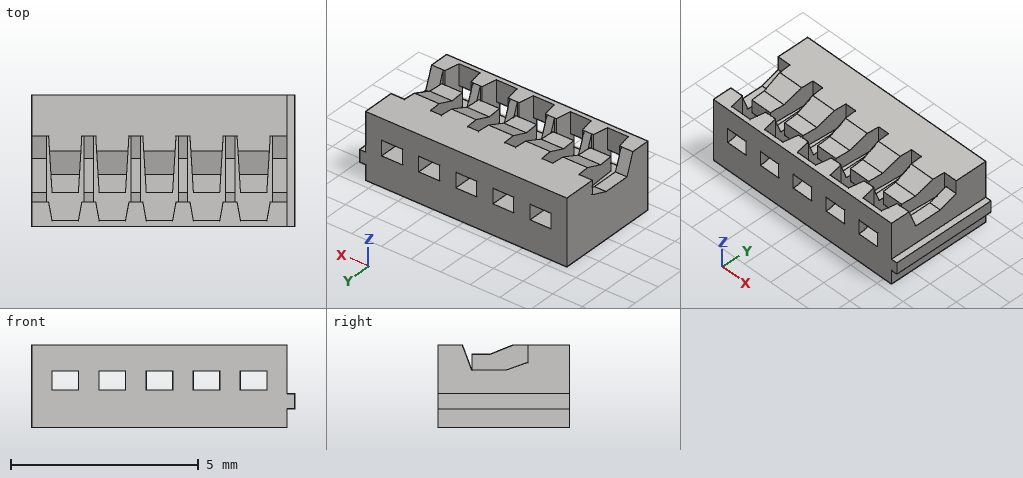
import cadquery as cq

total_length = 7.0
depth = 3.5
height = 2.2
key_width = 0.2
body_length = total_length - key_width

key_bottom = 0.5
key_height = 0.405

contact_count = 5
contact_pitch = 1.25
first_contact_x = body_length / 2 - contact_pitch * (contact_count - 1) / 2

channel_width = 0.7
channel_bottom = 1.0
channel_top = 1.5

trough_front = 0.65
trough_floor_front = 0.9
trough_floor_back = 1.805
trough_back = 2.4
trough_floor = 1.525
ramp_top = 1.735

cavity_width = 1.0
notch_front = 0.155
flare_width = 0.88

tongue_slope_back = 2.0
tongue_slope_front = 1.385
tongue_tip_top = 1.95


def across_body(yz_points):
    """Extrude a YZ outline over the full body length."""
    return cq.Workplane("YZ").polyline(yz_points).close().extrude(body_length)


def tapered_block(center_x, front, back, bottom):
    """Upright block up to the body top, channel-wide in front and flared at the back."""
    plan = [
        (center_x - channel_width / 2, front),
        (center_x + channel_width / 2, front),
        (center_x + flare_width / 2, back),
        (center_x - flare_width / 2, back),
    ]
    return cq.Workplane("XY").workplane(offset=bottom).polyline(plan).close().extrude(height - bottom)


def straight_block(center_x, width, front, back, bottom, top):
    """Rectangular block centred on a contact position."""
    block = cq.Workplane("XY").box(width, back - front, top - bottom, centered=(True, False, False))
    return block.translate((center_x, front, bottom))


def contact_opening(center_x):
    """Channel, tongue cavity and front notch of one contact."""
    channel = straight_block(center_x, channel_width, 0, depth, channel_bottom, channel_top)
    cavity = straight_block(center_x, cavity_width, trough_front, trough_back, channel_bottom, height)
    notch = tapered_block(center_x, notch_front, trough_front, channel_bottom)
    return channel.union(cavity).union(notch)


def contact_tongue(center_x):
    """Tongue fixed to the back wall of the trough, narrowing towards its tip."""
    side_outline = [
        (trough_back, channel_top),
        (trough_back, height),
        (tongue_slope_back, height),
        (tongue_slope_front, tongue_tip_top),
        (trough_floor_front, tongue_tip_top),
        (trough_floor_front, channel_top),
    ]
    plan_block = tapered_block(center_x, trough_floor_front, trough_back, channel_top)
    return across_body(side_outline).intersect(plan_block)


body = cq.Workplane("XY").box(body_length, depth, height, centered=False)
key_rail = cq.Workplane("XY").box(key_width, depth, key_height, centered=False)
body = body.union(key_rail.translate((body_length, 0, key_bottom)))

trough_outline = [
    (trough_front, height),
    (trough_floor_front, trough_floor),
    (trough_floor_back, trough_floor),
    (trough_back, ramp_top),
    (trough_back, height),
]
body = body.cut(across_body(trough_outline))

for index in range(contact_count):
    contact_x = first_contact_x + index * contact_pitch
    body = body.cut(contact_opening(contact_x))
    body = body.union(contact_tongue(contact_x))

result = body